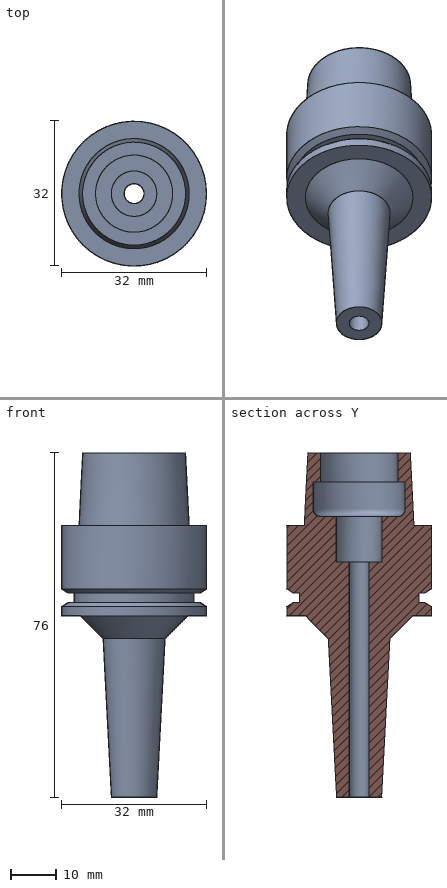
import cadquery as cq
import math

total_height = 76.0
flange_diameter = 32.0

seat_height = 15.95
seat_base_diameter = 24.3
seat_taper = 0.1

flange_height = 20.0
flange_lower_band = 2.05
groove_floor_diameter = 26.5
groove_floor_width = 2.05
groove_chamfer_depth = 1.45
groove_chamfer_height = 0.9

neck_cone_height = 5.0
neck_cone_angle = 45.0
nose_tip_diameter = 10.0
nose_draft_angle = 3.0

mouth_diameter = 17.0
mouth_depth = 6.45
chamber_diameter = 20.2
chamber_floor_depth = 14.0
chamber_floor_radius = 1.5
screw_bore_diameter = 10.0
screw_bore_depth = 10.0
through_hole_diameter = 4.3

shoulder_z = total_height - seat_height
flange_bottom_z = shoulder_z - flange_height
nose_top_z = flange_bottom_z - neck_cone_height
lower_rim_z = flange_bottom_z + flange_lower_band
lower_lip_z = lower_rim_z + groove_chamfer_height
upper_lip_z = lower_lip_z + groove_floor_width
upper_rim_z = upper_lip_z + groove_chamfer_height
chamber_floor_z = total_height - chamber_floor_depth

flange_radius = flange_diameter / 2
lip_radius = flange_radius - groove_chamfer_depth
groove_radius = groove_floor_diameter / 2
seat_base_radius = seat_base_diameter / 2
seat_top_radius = seat_base_radius - seat_taper * seat_height / 2
nose_tip_radius = nose_tip_diameter / 2
nose_top_radius = nose_tip_radius + nose_top_z * math.tan(math.radians(nose_draft_angle))
neck_top_radius = nose_top_radius + neck_cone_height * math.tan(math.radians(neck_cone_angle))


def turned_body():
    """Solid of revolution that forms the whole outside of the holder."""
    profile = [
        (0, 0),
        (nose_tip_radius, 0),
        (nose_top_radius, nose_top_z),
        (neck_top_radius, flange_bottom_z),
        (flange_radius, flange_bottom_z),
        (flange_radius, lower_rim_z),
        (lip_radius, lower_lip_z),
        (groove_radius, lower_lip_z),
        (groove_radius, upper_lip_z),
        (lip_radius, upper_lip_z),
        (flange_radius, upper_rim_z),
        (flange_radius, shoulder_z),
        (seat_base_radius, shoulder_z),
        (seat_top_radius, total_height),
        (0, total_height),
    ]
    return cq.Workplane("XZ").polyline(profile).close().revolve(360, (0, 0, 0), (0, 1, 0))


def axial_cylinder(diameter, bottom_z, top_z):
    """Upright cylinder on the axis between two levels."""
    return cq.Workplane("XY").workplane(offset=bottom_z).circle(diameter / 2).extrude(top_z - bottom_z)


def clamping_chamber():
    """Undercut chamber below the mouth, rounded where its wall meets the floor."""
    mouth_floor_z = total_height - mouth_depth
    chamber = axial_cylinder(chamber_diameter, chamber_floor_z, mouth_floor_z)
    return chamber.faces("<Z").edges().fillet(chamber_floor_radius)


mouth = axial_cylinder(mouth_diameter, chamber_floor_z, total_height)
screw_bore = axial_cylinder(screw_bore_diameter, chamber_floor_z - screw_bore_depth, total_height)
through_hole = axial_cylinder(through_hole_diameter, 0, total_height)

result = turned_body()
for cutter in (mouth, clamping_chamber(), screw_bore, through_hole):
    result = result.cut(cutter)